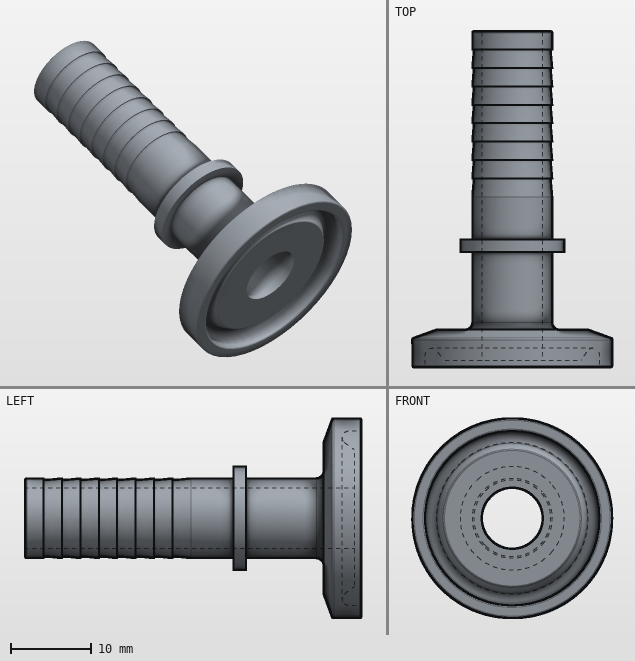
import cadquery as cq
import math

overall_length = 42.0
bore_radius = 3.8
stem_radius = 5.0
edge_radius = 0.25

flange_radius = 12.5
rim_width = 3.6
flange_thickness = 4.7
cone_angle = math.radians(20)
hub_fillet = 0.9

groove_outer_radius = 10.9
face_recess = 0.87
face_radius = 8.58
face_edge_radius = 0.2
groove_floor_radius = 0.83
groove_cone_angle = math.radians(35)

collar_radius = 6.5
collar_end = 16.0
collar_width = 1.6

barb_count = 8
barb_pitch = 2.3
barb_root_radius = 4.8
plain_tip_length = 2.3


def make_flange():
    """Clamp flange with a conical back face."""
    cone_run = (flange_thickness - rim_width) / math.tan(cone_angle)
    flange = (
        cq.Workplane("XY")
        .moveTo(0, 0)
        .lineTo(flange_radius, 0)
        .lineTo(flange_radius, rim_width)
        .lineTo(flange_radius - cone_run, flange_thickness)
        .lineTo(0, flange_thickness)
        .close()
        .revolve(360, (0, 0, 0), (0, 1, 0))
    )
    flange = flange.edges("<Y").fillet(edge_radius)
    widest_edges = cq.selectors.RadiusNthSelector(-1)
    return flange.edges(widest_edges).edges(">Y").fillet(edge_radius)


def make_groove():
    """Body that cuts the gasket groove and sinks the central face below the rim."""
    centre_x = groove_outer_radius - groove_floor_radius
    floor_end_x = centre_x - groove_floor_radius * math.cos(groove_cone_angle)
    floor_end_y = face_recess + (floor_end_x - face_radius) / math.tan(groove_cone_angle)
    centre_y = floor_end_y - groove_floor_radius * math.sin(groove_cone_angle)
    floor_y = centre_y + groove_floor_radius
    return (
        cq.Workplane("XY")
        .moveTo(0, 0)
        .lineTo(groove_outer_radius, 0)
        .lineTo(groove_outer_radius, centre_y)
        .threePointArc((centre_x, floor_y), (floor_end_x, floor_end_y))
        .lineTo(face_radius, face_recess)
        .lineTo(0, face_recess)
        .close()
        .revolve(360, (0, 0, 0), (0, 1, 0))
    )


def make_grooved_flange():
    """Flange with the groove cut, its rim and the central face edge rounded."""
    flange = make_flange().cut(make_groove())
    rim_inner_edge = cq.selectors.RadiusNthSelector(0)
    flange = flange.faces("<Y").edges(rim_inner_edge).fillet(edge_radius)
    central_face = flange.faces("<Y[1]")
    return central_face.edges().fillet(face_edge_radius)


def make_stem():
    """Plain stem with a barbed stretch and a rounded plain tip."""
    barbs_end = overall_length - plain_tip_length
    barbs_start = barbs_end - barb_count * barb_pitch
    outline = cq.Workplane("XY").moveTo(0, rim_width).lineTo(stem_radius, rim_width)
    for barb in range(barb_count):
        barb_start = barbs_start + barb * barb_pitch
        outline = outline.lineTo(stem_radius, barb_start)
        outline = outline.lineTo(barb_root_radius, barb_start + barb_pitch)
    outline = (
        outline.lineTo(stem_radius, barbs_end)
        .lineTo(stem_radius, overall_length)
        .lineTo(0, overall_length)
        .close()
    )
    stem = outline.revolve(360, (0, 0, 0), (0, 1, 0))
    return stem.edges(">Y").fillet(edge_radius)


def make_hub_fillet():
    """Concave ring that blends the stem into the flange."""
    arc_offset = hub_fillet * (1 - math.sqrt(0.5))
    return (
        cq.Workplane("XY")
        .moveTo(bore_radius, flange_thickness)
        .lineTo(stem_radius + hub_fillet, flange_thickness)
        .threePointArc(
            (stem_radius + arc_offset, flange_thickness + arc_offset),
            (stem_radius, flange_thickness + hub_fillet),
        )
        .lineTo(bore_radius, flange_thickness + hub_fillet)
        .close()
        .revolve(360, (0, 0, 0), (0, 1, 0))
    )


def make_cylinder(radius, start, length):
    """Cylinder about the Y axis, from Y = start towards +Y."""
    return cq.Workplane("XZ", origin=(0, start, 0)).circle(radius).extrude(-length)


flange = make_grooved_flange()
collar = make_cylinder(collar_radius, collar_end - collar_width, collar_width)
bore = make_cylinder(bore_radius, 0, overall_length)

result = flange.union(make_hub_fillet()).union(make_stem()).union(collar).cut(bore)